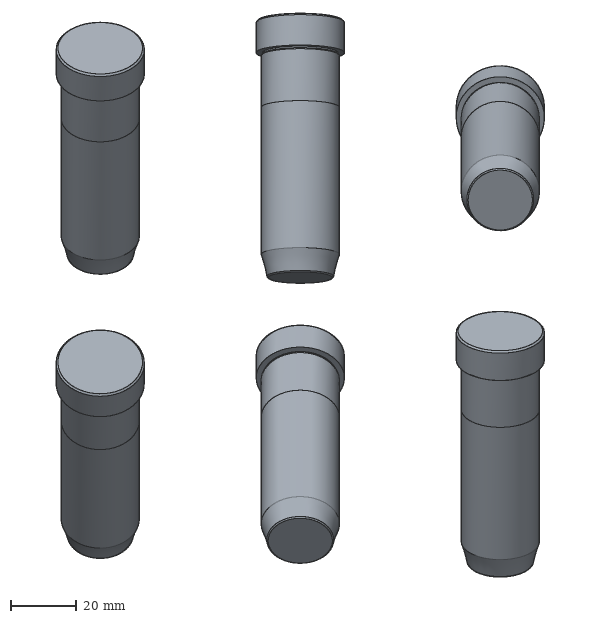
import cadquery as cq

total_length = 80.0
head_diameter = 27.0
head_height = 10.0
head_chamfer = 0.6
shaft_diameter = 24.0
neck_diameter = 23.2
neck_end_depth = 10.5
shoulder_depth = 10.9
joint_depth = 27.0
lead_in_height = 7.2
lead_in_mid_radius = 11.0
tip_radius = 10.2
tip_chamfer = 0.4

top_z = total_length / 2
bottom_z = -total_length / 2
joint_z = top_z - joint_depth
head_radius = head_diameter / 2
shaft_radius = shaft_diameter / 2
neck_radius = neck_diameter / 2
lead_in_top_z = bottom_z + lead_in_height
tip_edge_z = bottom_z + tip_chamfer
lead_in_mid_z = (lead_in_top_z + tip_edge_z) / 2


def revolve_about_z(profile):
    """Turn a closed radius-height profile a full circle about the Z axis."""
    return profile.close().revolve(360, (0, 0, 0), (0, 1, 0))


def make_head_section():
    """Chamfered head, undercut neck and the upper length of the shaft."""
    head_bottom_z = top_z - head_height
    profile = (
        cq.Workplane("XZ")
        .moveTo(0, joint_z)
        .lineTo(shaft_radius, joint_z)
        .lineTo(shaft_radius, top_z - shoulder_depth)
        .lineTo(neck_radius, top_z - neck_end_depth)
        .lineTo(neck_radius, head_bottom_z)
        .lineTo(head_radius, head_bottom_z)
        .lineTo(head_radius, top_z - head_chamfer)
        .lineTo(head_radius - head_chamfer, top_z)
        .lineTo(0, top_z)
    )
    return revolve_about_z(profile)


def make_guide_section():
    """Plain lower shaft ending in a slightly hollow lead-in taper."""
    profile = (
        cq.Workplane("XZ")
        .moveTo(0, bottom_z)
        .lineTo(tip_radius - tip_chamfer, bottom_z)
        .lineTo(tip_radius, tip_edge_z)
        .threePointArc((lead_in_mid_radius, lead_in_mid_z), (shaft_radius, lead_in_top_z))
        .lineTo(shaft_radius, joint_z)
        .lineTo(0, joint_z)
    )
    return revolve_about_z(profile)


head_section = make_head_section()
guide_section = make_guide_section()

result = cq.Compound.makeCompound([head_section.val(), guide_section.val()])